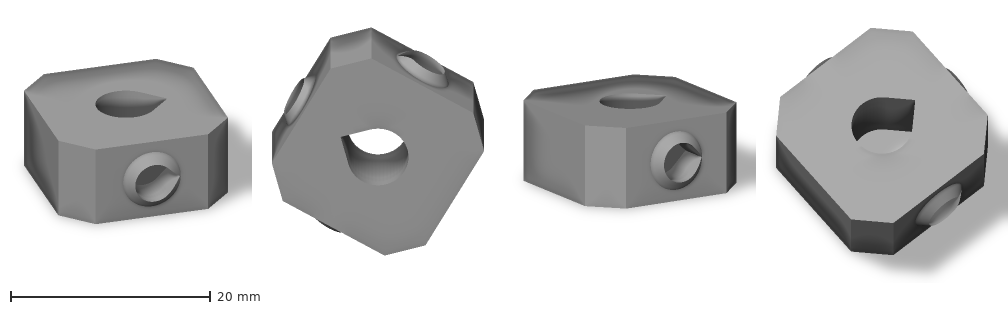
import cadquery as cq
import math

overall_length = 19.76
block_side = 17.8
block_height = 8.35
corner_chamfer = 3.0

bore_diameter = 6.13
socket_diameter = 4.1
socket_depth = 3.95

side_boss_height = (overall_length - block_side) / 2
back_boss_height = 0.83


def teardrop(plane, diameter, depth):
    """Prism with a round section and a 90 degree peak along the plane's local Y."""
    radius = diameter / 2
    tangent_offset = radius * math.sin(math.radians(45))
    peak = radius * math.sqrt(2)
    return (
        cq.Workplane(plane)
        .moveTo(-tangent_offset, tangent_offset)
        .threePointArc((0, -radius), (tangent_offset, tangent_offset))
        .lineTo(0, peak)
        .close()
        .extrude(depth)
    )


def boss(direction, height):
    """Cone on a block face that narrows to the socket diameter at its tip."""
    tip_radius = socket_diameter / 2
    base_center = direction * (block_side / 2)
    cone = cq.Solid.makeCone(tip_radius + height, tip_radius, height, base_center, direction)
    return cq.Workplane(cone)


def block():
    return (
        cq.Workplane("XY")
        .box(block_side, block_side, block_height)
        .edges("|Z")
        .chamfer(corner_chamfer)
    )


def side_socket(side):
    """Teardrop recess running inward from a side boss tip, peak toward +Y."""
    plane = cq.Plane(
        origin=(side * overall_length / 2, 0, 0),
        xDir=(0, 0, side),
        normal=(-side, 0, 0),
    )
    return teardrop(plane, socket_diameter, socket_depth)


def back_socket():
    """Round recess running inward from the +Y boss tip."""
    tip_center = cq.Vector(0, block_side / 2 + back_boss_height, 0)
    inward = cq.Vector(0, -1, 0)
    socket = cq.Solid.makeCylinder(socket_diameter / 2, socket_depth, tip_center, inward)
    return cq.Workplane(socket)


def bore():
    """Teardrop hole through the whole height, peak toward +Y."""
    bottom_plane = cq.Plane(origin=(0, 0, -block_height / 2))
    return teardrop(bottom_plane, bore_diameter, block_height)


result = block().cut(bore())

for side in (-1, 1):
    result = result.union(boss(cq.Vector(side, 0, 0), side_boss_height))
    result = result.cut(side_socket(side))

result = result.union(boss(cq.Vector(0, 1, 0), back_boss_height))
result = result.cut(back_socket())